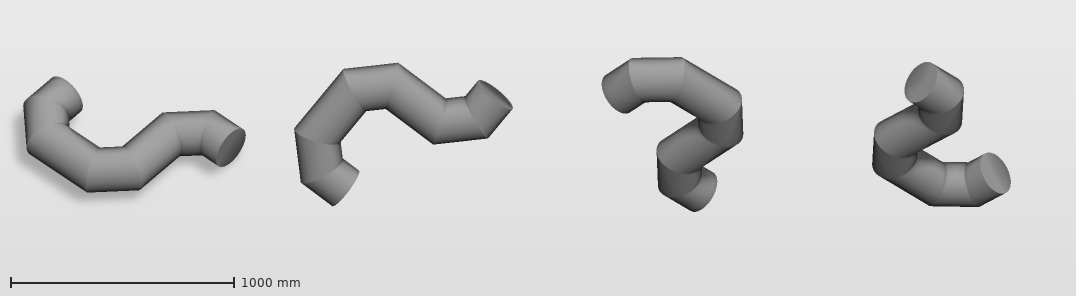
import cadquery as cq
import math

overall_length = 862.0
pipe_diameter = 200.0

pipe_radius = pipe_diameter / 2
elbow_reach = (overall_length - pipe_radius) / 3
outer_leg = (elbow_reach + pipe_radius) / 2
mitre_angle = math.radians(22.5)
centre_leg = outer_leg - pipe_radius * math.tan(mitre_angle)

TO_RIGHT = cq.Vector(1, 0, 0)
TO_BACK = cq.Vector(0, 1, 0)
TO_FRONT = cq.Vector(0, -1, 0)


def elbow_end(start, inlet, outlet):
    """Centre of the elbow's far end face."""
    return start + inlet * elbow_reach + outlet * elbow_reach


def mitred_elbow(start, inlet, outlet):
    """Solid 90 degree elbow made of two straight legs and a 45 degree middle piece."""
    end = elbow_end(start, inlet, outlet)
    centreline = cq.Workplane("XY").polyline([
        start,
        start + inlet * centre_leg,
        end - outlet * centre_leg,
        end,
    ])
    end_face = cq.Plane(origin=start, xDir=(0, 0, 1), normal=inlet)
    return cq.Workplane(end_face).circle(pipe_radius).sweep(centreline, transition="right")


run_directions = [TO_FRONT, TO_RIGHT, TO_BACK, TO_RIGHT]

elbows = []
joint = cq.Vector(0, 0, 0)
for inlet, outlet in zip(run_directions, run_directions[1:]):
    elbows.append(mitred_elbow(joint, inlet, outlet).val())
    joint = elbow_end(joint, inlet, outlet)

result = cq.Compound.makeCompound(elbows)